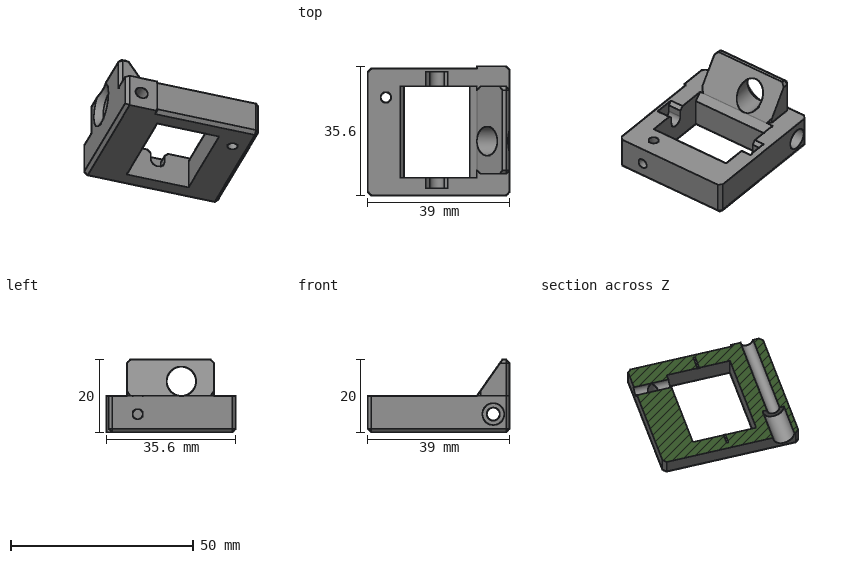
import cadquery as cq

LENGTH = 39.0
WIDTH = 35.0
BASE_HEIGHT = 10.0
EDGE_CHAMFER = 1.0

WINDOW_X_MIN = 10.0
WINDOW_X_MAX = 28.0
WINDOW_Y_MIN = 5.0
WINDOW_Y_MAX = 30.0
WINDOW_LEFT_CHAMFER = 1.0
WINDOW_RIGHT_CHAMFER = 2.0

NOTCH_X = (WINDOW_X_MIN + WINDOW_X_MAX) / 2
NOTCH_WIDTH = 4.0
NOTCH_BOTTOM_Z = 5.0
NOTCH_MOUTH_CHAMFER = 1.0
NOTCH_FRONT_DEPTH = 3.0
NOTCH_BACK_DEPTH = 4.0

LUG_X_MIN = WINDOW_X_MAX + WINDOW_RIGHT_CHAMFER
LUG_Y_MIN = 6.0
LUG_Y_MAX = WINDOW_Y_MAX
LUG_TOP_Z = 20.0
LUG_TOP_THICKNESS = 2.0
PAD_THICKNESS = 0.6

LUG_HOLE_DIAMETER = 8.0
LUG_HOLE_Y = 15.0
LUG_HOLE_Z = BASE_HEIGHT + LUG_HOLE_DIAMETER / 2
LUG_COUNTERSINK = 2.0
BOLT_X = 34.5
BOLT_Z = BASE_HEIGHT / 2
BOLT_DIAMETER = 3.5
BOLT_HEAD_DIAMETER = 6.0
BOLT_HEAD_DEPTH = 10.0
PIN_DIAMETER = 2.8
PIN_X = 5.0
PIN_Y = 27.0
PIN_Z = BASE_HEIGHT / 2


def box(x_min, x_max, y_min, y_max, z_min, z_max):
    """Block given by its limits along each axis."""
    size = (x_max - x_min, y_max - y_min, z_max - z_min)
    return cq.Workplane("XY").box(*size, centered=False).translate((x_min, y_min, z_min))


def cylinder(diameter, length, start, direction):
    """Round bar running from a start point along a direction."""
    bar = cq.Solid.makeCylinder(diameter / 2, length, cq.Vector(*start), cq.Vector(*direction))
    return cq.Workplane(bar)


def extrude_along_y(points, y_min, y_max):
    """Prism with an (x, z) outline between two y positions."""
    return cq.Workplane("XZ", origin=(0, y_max, 0)).polyline(points).close().extrude(y_max - y_min)


def make_base():
    """Flat block with chamfered corners and underside, plus the thin pad on its back face."""
    block = box(0, LENGTH, 0, WIDTH, 0, BASE_HEIGHT)
    block = block.edges("|Z or <Z").chamfer(EDGE_CHAMFER)
    pad = box(LUG_X_MIN, LENGTH, WINDOW_Y_MAX, WIDTH + PAD_THICKNESS, 0, BASE_HEIGHT)
    pad = pad.edges("(|Z and >X and >Y) or (|Y and >X and <Z)").chamfer(EDGE_CHAMFER)
    return block.union(pad)


def make_lug():
    """Upright block at the +x end, chamfered all round and cut away by a slope facing -x."""
    lug = box(LUG_X_MIN, LENGTH, LUG_Y_MIN, LUG_Y_MAX, BASE_HEIGHT, LUG_TOP_Z)
    lug = lug.edges("|Z or >Z").chamfer(EDGE_CHAMFER)
    slope = [
        (LUG_X_MIN, BASE_HEIGHT),
        (LENGTH - LUG_TOP_THICKNESS, LUG_TOP_Z),
        (LUG_X_MIN, LUG_TOP_Z),
    ]
    return lug.cut(extrude_along_y(slope, LUG_Y_MIN, LUG_Y_MAX))


def make_window():
    """Through opening whose -x and +x walls flare outward at the top."""
    outline = [
        (WINDOW_X_MIN, 0),
        (WINDOW_X_MAX, 0),
        (WINDOW_X_MAX, BASE_HEIGHT - WINDOW_RIGHT_CHAMFER),
        (WINDOW_X_MAX + WINDOW_RIGHT_CHAMFER, BASE_HEIGHT),
        (WINDOW_X_MIN - WINDOW_LEFT_CHAMFER, BASE_HEIGHT),
        (WINDOW_X_MIN, BASE_HEIGHT - WINDOW_LEFT_CHAMFER),
    ]
    return extrude_along_y(outline, WINDOW_Y_MIN, WINDOW_Y_MAX)


def make_notches():
    """Round-bottomed slot with a flared mouth, reaching past the window at both ends."""
    radius = NOTCH_WIDTH / 2
    y_min = WINDOW_Y_MIN - NOTCH_FRONT_DEPTH
    y_max = WINDOW_Y_MAX + NOTCH_BACK_DEPTH
    axis_z = NOTCH_BOTTOM_Z + radius
    flare_z = BASE_HEIGHT - NOTCH_MOUTH_CHAMFER
    mouth = radius + NOTCH_MOUTH_CHAMFER
    outline = (
        cq.Workplane("XZ", origin=(NOTCH_X, y_max, 0))
        .moveTo(-radius, axis_z)
        .threePointArc((0, NOTCH_BOTTOM_Z), (radius, axis_z))
        .lineTo(radius, flare_z)
        .lineTo(mouth, BASE_HEIGHT)
        .lineTo(-mouth, BASE_HEIGHT)
        .lineTo(-radius, flare_z)
        .close()
    )
    return outline.extrude(y_max - y_min)


def make_lug_hole():
    """Hole along x through the lug, countersunk at the +x face."""
    radius = LUG_HOLE_DIAMETER / 2
    hole = cylinder(LUG_HOLE_DIAMETER, LENGTH - LUG_X_MIN, (LUG_X_MIN, LUG_HOLE_Y, LUG_HOLE_Z), (1, 0, 0))
    countersink = cq.Solid.makeCone(
        radius,
        radius + LUG_COUNTERSINK,
        LUG_COUNTERSINK,
        cq.Vector(LENGTH - LUG_COUNTERSINK, LUG_HOLE_Y, LUG_HOLE_Z),
        cq.Vector(1, 0, 0),
    )
    return hole.union(cq.Workplane(countersink))


def make_bolt_hole():
    """Hole along y under the lug, counterbored from the front face."""
    start = (BOLT_X, 0, BOLT_Z)
    shank = cylinder(BOLT_DIAMETER, WIDTH + PAD_THICKNESS, start, (0, 1, 0))
    return shank.union(cylinder(BOLT_HEAD_DIAMETER, BOLT_HEAD_DEPTH, start, (0, 1, 0)))


def make_pin_holes():
    """Vertical through hole crossed by a hole running from the -x face into the window."""
    vertical = cylinder(PIN_DIAMETER, BASE_HEIGHT, (PIN_X, PIN_Y, 0), (0, 0, 1))
    return vertical.union(cylinder(PIN_DIAMETER, WINDOW_X_MIN, (0, PIN_Y, PIN_Z), (1, 0, 0)))


result = make_base().union(make_lug())
for cutter in (make_window(), make_notches(), make_lug_hole(), make_bolt_hole(), make_pin_holes()):
    result = result.cut(cutter)